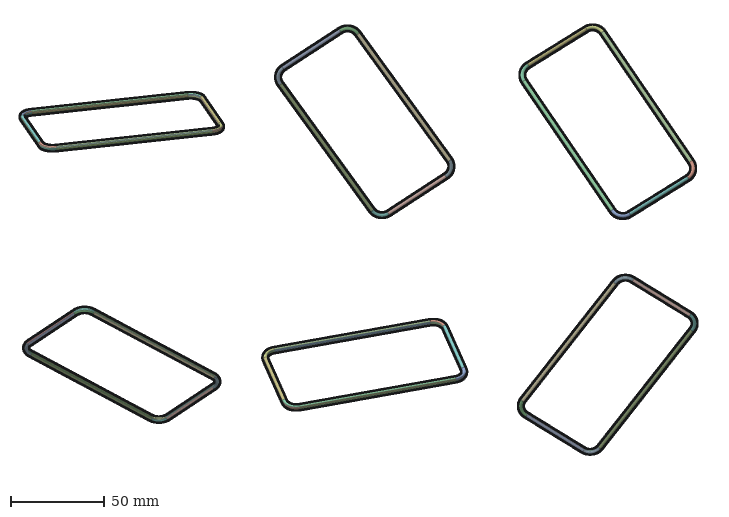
import cadquery as cq
import math

loop_width = 53.6
loop_length = 103.3
outer_corner_radius = 8.2

section_height = 3.7
section_width = 3.2
crown_radius = 1.3
flank_angle = math.radians(25)

half_height = section_height / 2
half_width = section_width / 2
crown_center = half_height - crown_radius
flank_sin = math.sin(flank_angle)
flank_cos = math.cos(flank_angle)

flank_offset = crown_radius + crown_center * flank_sin
nose_radius = (flank_offset - half_width * flank_cos) / (1 - flank_cos)
nose_center = half_width - nose_radius
crown_tangent = (crown_radius * flank_cos, crown_center + crown_radius * flank_sin)
nose_tangent = (nose_center + nose_radius * flank_cos, nose_radius * flank_sin)


def bar_section(plane):
    """Closed bar section, symmetric about both of its axes."""
    crown_x, crown_z = crown_tangent
    nose_x, nose_z = nose_tangent
    return (
        cq.Workplane(plane)
        .moveTo(-crown_x, crown_z)
        .threePointArc((0, half_height), (crown_x, crown_z))
        .lineTo(nose_x, nose_z)
        .threePointArc((half_width, 0), (nose_x, -nose_z))
        .lineTo(crown_x, -crown_z)
        .threePointArc((0, -half_height), (-crown_x, -crown_z))
        .lineTo(-nose_x, -nose_z)
        .threePointArc((-half_width, 0), (-nose_x, nose_z))
        .close()
    )


path_half_width = (loop_width - section_width) / 2
path_half_length = (loop_length - section_width) / 2
bend_radius = outer_corner_radius - half_width
bend_x = path_half_width - bend_radius
bend_y = path_half_length - bend_radius


def straight_bars():
    """Two long bars along Y and two short bars along X."""
    long_bar = bar_section("XZ").extrude(bend_y, both=True)
    short_bar = bar_section("YZ").extrude(bend_x, both=True)
    bars = []
    for side in (-1, 1):
        bars.append(long_bar.translate((side * path_half_width, 0, 0)))
        bars.append(short_bar.translate((0, side * path_half_length, 0)))
    return bars


def corner_bends():
    """Quarter-turn bends that join the straight bars."""
    bend = bar_section(cq.Plane((bend_radius, 0, 0), (1, 0, 0), (0, -1, 0)))
    bend = bend.revolve(90, (-bend_radius, 0, 0), (-bend_radius, 1, 0))
    centers = ((bend_x, bend_y), (-bend_x, bend_y), (-bend_x, -bend_y), (bend_x, -bend_y))
    bends = []
    for turn, (x, y) in enumerate(centers):
        turned = bend.rotate((0, 0, 0), (0, 0, 1), turn * 90)
        bends.append(turned.translate((x, y, 0)))
    return bends


pieces = straight_bars() + corner_bends()
result = pieces[0]
for piece in pieces[1:]:
    result = result.union(piece)